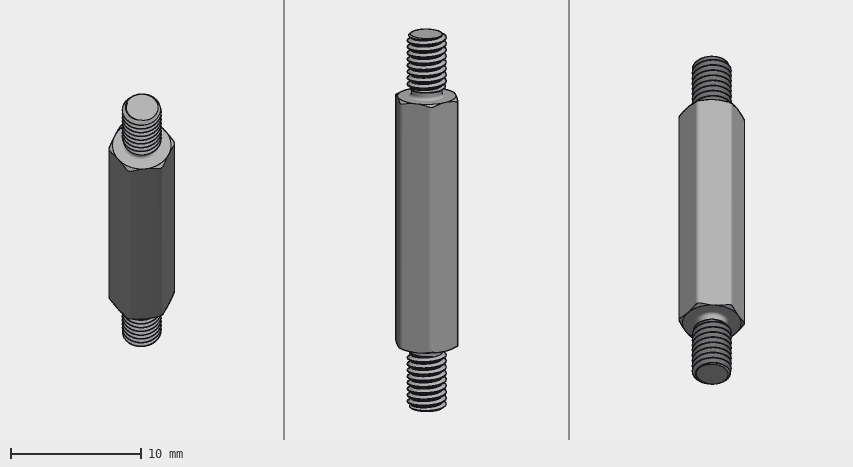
import cadquery as cq
import math

total_length = 30.0
body_length = 20.0
body_end = body_length / 2
stud_end = total_length / 2

across_flats = 4.5
corner_radius = 0.42
end_chamfer_angle = 30.0

thread_pitch = 1.5 / 3
major_radius = 1.5
core_radius = 1.185
crest_width = thread_pitch / 8
flank_half_angle = 30.0
root_overlap = 0.03
neck_length = 0.6
neck_fillet = 0.25
thread_taper = 0.25
taper_radius = 1.25
crest_height_at_x = 14.88


def hex_body():
    """Hexagon with flats facing X, rounded corners and coned end faces."""
    circumscribed_diameter = across_flats / math.cos(math.radians(30))
    corner_reach = circumscribed_diameter / 2
    flat_radius = across_flats / 2
    cone_height = (corner_reach - flat_radius) * math.tan(math.radians(end_chamfer_angle))
    hexagon = (
        cq.Workplane("XY")
        .workplane(offset=-body_end)
        .polygon(6, circumscribed_diameter)
        .extrude(body_length)
        .rotate((0, 0, 0), (0, 0, 1), 30)
        .edges("|Z")
        .fillet(corner_radius)
    )
    coned_blank = (
        cq.Workplane("XZ")
        .moveTo(0, -body_end)
        .lineTo(flat_radius, -body_end)
        .lineTo(corner_reach, -body_end + cone_height)
        .lineTo(corner_reach, body_end - cone_height)
        .lineTo(flat_radius, body_end)
        .lineTo(0, body_end)
        .close()
        .revolve(360, (0, 0), (0, 1))
    )
    return hexagon.intersect(coned_blank)


def thread_ridge(bottom, top):
    """Right-handed ridge, longer than bottom..top, with a crest through the +X reference height."""
    turns_down = math.ceil((crest_height_at_x - bottom) / thread_pitch) + 1
    start = crest_height_at_x - turns_down * thread_pitch
    turns = math.ceil((top - start) / thread_pitch) + 1
    base_radius = core_radius - root_overlap
    half_crest = crest_width / 2
    half_base = half_crest + (major_radius - base_radius) * math.tan(math.radians(flank_half_angle))
    helix = cq.Wire.makeHelix(thread_pitch, turns * thread_pitch, base_radius)
    profile = cq.Workplane("XZ").polyline([
        (base_radius, -half_base),
        (major_radius, -half_crest),
        (major_radius, half_crest),
        (base_radius, half_base),
    ]).close()
    return profile.sweep(cq.Workplane(helix), isFrenet=True).translate((0, 0, start))


def thread_envelope(bottom, top):
    """Cylinder tapered at both ends that trims the ridge."""
    return (
        cq.Workplane("XZ")
        .moveTo(0, bottom)
        .lineTo(taper_radius, bottom)
        .lineTo(major_radius + root_overlap, bottom + thread_taper)
        .lineTo(major_radius + root_overlap, top - thread_taper)
        .lineTo(taper_radius, top)
        .lineTo(0, top)
        .close()
        .revolve(360, (0, 0), (0, 1))
    )


def trimmed_thread(bottom, top):
    return thread_ridge(bottom, top).intersect(thread_envelope(bottom, top))


core = cq.Workplane("XY").circle(core_radius).extrude(stud_end, both=True)
neck_rings = cq.selectors.BoxSelector(
    (-major_radius, -major_radius, -body_end - root_overlap),
    (major_radius, major_radius, body_end + root_overlap),
)
blank = hex_body().union(core)
blank = blank.edges("%CIRCLE").edges(neck_rings).edges(cq.selectors.RadiusNthSelector(0)).fillet(neck_fillet)

thread_start = body_end + neck_length
upper_thread = trimmed_thread(thread_start, stud_end)
lower_thread = trimmed_thread(-stud_end, -thread_start)
result = blank.union(upper_thread).union(lower_thread)